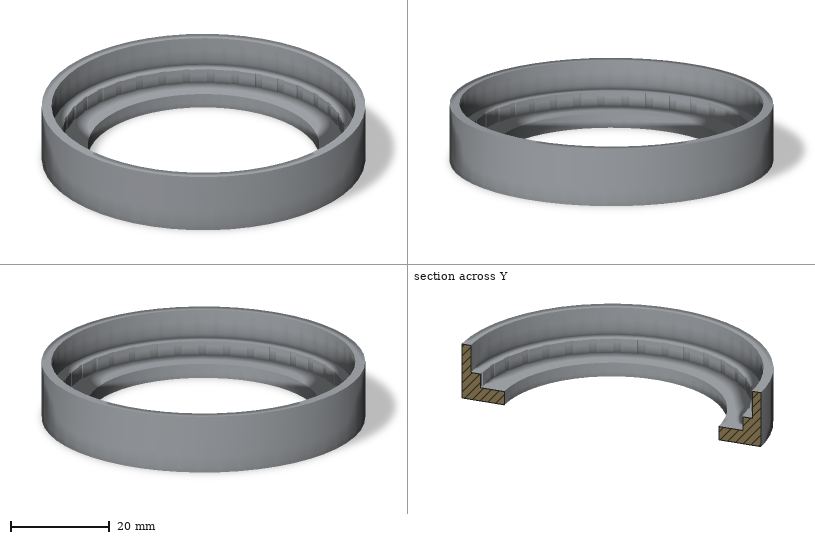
import cadquery as cq

outer_diameter = 65.6
bore_diameter = 46.9
height = 12.0

upper_diameter = 61.6
upper_depth = 6.0
seat_diameter = 57.0
floor_thickness = 3.0
shelf_height = height - upper_depth

groove_count = 36
groove_width = 1.6
groove_depth = 0.2


def stepped_ring():
    """Ring with a wide upper recess, a narrower lower seat and a through bore."""
    body = cq.Workplane("XY").circle(outer_diameter / 2).circle(bore_diameter / 2).extrude(height)
    upper = cq.Workplane("XY").workplane(offset=shelf_height).circle(upper_diameter / 2).extrude(upper_depth)
    seat_height = shelf_height - floor_thickness
    seat = cq.Workplane("XY").workplane(offset=floor_thickness).circle(seat_diameter / 2).extrude(seat_height)
    return body.cut(upper).cut(seat)


def wall_grooves():
    """Vertical grooves, evenly spaced, reaching outward from the seat wall."""
    cutter_length = 2 * groove_depth
    return (
        cq.Workplane("XY")
        .workplane(offset=floor_thickness)
        .polarArray(seat_diameter / 2, 0, 360, groove_count)
        .rect(cutter_length, groove_width)
        .extrude(shelf_height - floor_thickness)
    )


result = stepped_ring().cut(wall_grooves())